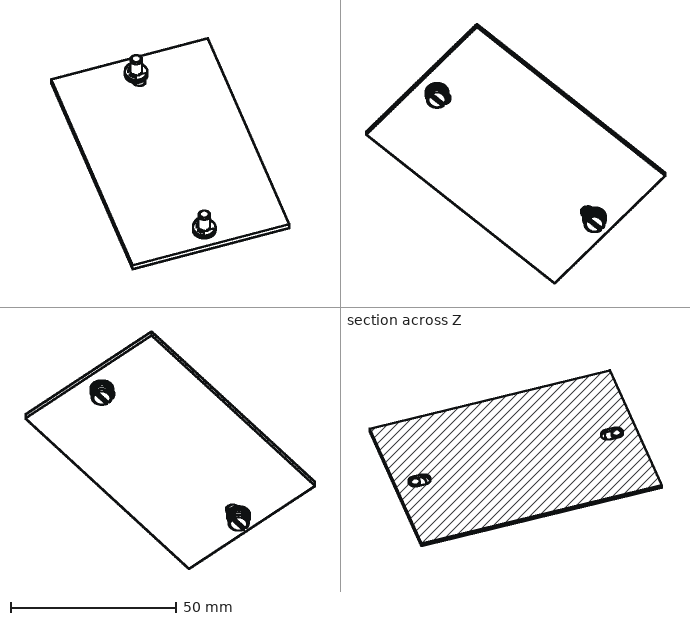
import cadquery as cq
import math

plate_length = 76.7
plate_width = 50.0
plate_thickness = 1.9
screw_offset = 32.05

slot_width = 4.0
slot_travel = 2.75

washer_diameter = 7.0
washer_thickness = 0.8

neck_diameter = 2.9
thread_diameter = 3.6
thread_tip_diameter = 2.75
thread_tip_height = 0.5
thread_top = 9.3

head_diameter = 6.1
head_height = 3.45
head_chamfer_height = 0.5
head_chamfer_width = 0.45
groove_top_gap = 0.5
groove_height = 1.1
groove_depth = 0.2
cross_hole_diameter = 1.2
driver_slot_width = 0.9
driver_slot_depth = 1.3

clip_diameter = 6.9
clip_thickness = 0.6
clip_mouth_width = 3.4
clip_throat_width = 2.75
clip_tip_y = 2.6
clip_pocket_diameter = 4.8
clip_lobe_width = 1.4
clip_pocket_angle = 20.0

clip_bottom = plate_thickness + washer_thickness
clip_top = clip_bottom + clip_thickness
head_top = -washer_thickness
head_bottom = head_top - head_height


def cylinder(diameter, bottom, top):
    return cq.Workplane("XY").workplane(offset=bottom).circle(diameter / 2).extrude(top - bottom)


def make_plate():
    plate = cq.Workplane("XY").rect(plate_length, plate_width).extrude(plate_thickness)
    for side in (-1, 1):
        slot = (
            cq.Workplane("XY")
            .center(side * (screw_offset - slot_travel / 2), 0)
            .slot2D(slot_travel + slot_width, slot_width)
            .extrude(plate_thickness)
        )
        plate = plate.cut(slot)
    return plate


def make_screw():
    """Screw on the Z axis, turned from one profile, with a cross hole and a driver slot."""
    head_radius = head_diameter / 2
    thread_radius = thread_diameter / 2
    neck_radius = neck_diameter / 2
    groove_top = head_top - groove_top_gap
    groove_middle = groove_top - groove_height / 2
    groove_bottom = groove_top - groove_height

    screw = (
        cq.Workplane("XZ")
        .moveTo(0, head_bottom)
        .lineTo(head_radius - head_chamfer_width, head_bottom)
        .lineTo(head_radius, head_bottom + head_chamfer_height)
        .lineTo(head_radius, groove_bottom)
        .threePointArc((head_radius - groove_depth, groove_middle), (head_radius, groove_top))
        .lineTo(head_radius, head_top)
        .lineTo(neck_radius, head_top)
        .lineTo(neck_radius, clip_top)
        .lineTo(thread_radius, clip_top)
        .lineTo(thread_radius, thread_top - thread_tip_height)
        .lineTo(thread_tip_diameter / 2, thread_top)
        .lineTo(0, thread_top)
        .close()
        .revolve(360, (0, 0, 0), (0, 1, 0))
    )
    cross_hole = (
        cq.Workplane("XZ")
        .center(0, groove_middle)
        .circle(cross_hole_diameter / 2)
        .extrude(head_radius, both=True)
    )
    driver_slot = (
        cq.Workplane("XY")
        .workplane(offset=head_bottom)
        .rect(head_diameter, driver_slot_width)
        .extrude(driver_slot_depth)
    )
    return screw.cut(cross_hole).cut(driver_slot)


def make_clip():
    """E-shaped clip around the neck: open mouth, flat tips and two pockets beside a middle lobe."""
    outer_radius = clip_diameter / 2
    base = cq.Workplane("XY").workplane(offset=clip_bottom)

    mouth = (
        base.moveTo(-clip_throat_width / 2, 0)
        .lineTo(clip_throat_width / 2, 0)
        .lineTo(clip_mouth_width / 2, clip_tip_y)
        .lineTo(-clip_mouth_width / 2, clip_tip_y)
        .close()
        .extrude(clip_thickness)
    )
    beyond_tips = (
        base.center(0, clip_tip_y + outer_radius / 2)
        .rect(clip_diameter, outer_radius)
        .extrude(clip_thickness)
    )
    end_drop = outer_radius * math.tan(math.radians(clip_pocket_angle))
    sector = (
        base.moveTo(0, 0)
        .lineTo(outer_radius, -end_drop)
        .lineTo(outer_radius, -outer_radius)
        .lineTo(-outer_radius, -outer_radius)
        .lineTo(-outer_radius, -end_drop)
        .close()
        .extrude(clip_thickness)
    )
    lobe = (
        base.center(0, -outer_radius / 2)
        .rect(clip_lobe_width, outer_radius)
        .extrude(clip_thickness)
    )
    pockets = cylinder(clip_pocket_diameter, clip_bottom, clip_top).intersect(sector).cut(lobe)

    return cylinder(clip_diameter, clip_bottom, clip_top).cut(mouth).cut(beyond_tips).cut(pockets)


def make_fastener():
    lower_washer = cylinder(washer_diameter, head_top, 0)
    upper_washer = cylinder(washer_diameter, plate_thickness, clip_bottom)
    return make_screw().union(make_clip()).union(lower_washer).union(upper_washer)


result = make_plate()
fastener = make_fastener()
for side in (-1, 1):
    result = result.union(fastener.translate((side * screw_offset, 0, 0)))